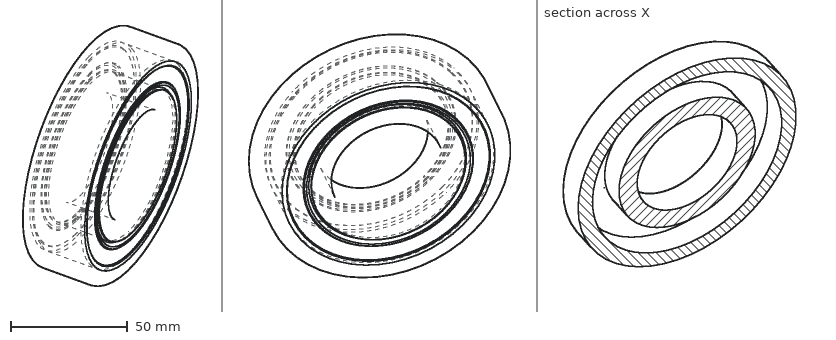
import cadquery as cq


width = 27.0
bore_radius = 25.0
outside_radius = 55.0
corner_radius = 2.0
face = width / 2

inner_ring_radius = 34.4
shield_seat_radius = 47.5

rim_inner_radius = 45.5
lip_outer_radius = 37.6
lip_inner_radius = 36.6
groove_radius = 35.2
web_depth = 0.4
shield_thickness = 2.0
web_outer_radius = rim_inner_radius - web_depth
web_inner_radius = lip_outer_radius + web_depth
groove_depth = lip_inner_radius - groove_radius
inner_edge_depth = groove_depth - (groove_radius - inner_ring_radius)


def make_ring(inner_radius, outer_radius):
    """Plain full-width ring around the X axis."""
    section = cq.Workplane("YZ", origin=(-face, 0, 0)).circle(outer_radius).circle(inner_radius)
    return section.extrude(width)


def make_inner_ring():
    """Ring with rounded bore edges."""
    bore_edges = cq.selectors.RadiusNthSelector(0)
    return make_ring(bore_radius, inner_ring_radius).edges(bore_edges).fillet(corner_radius)


def make_outer_ring():
    """Ring with rounded outer edges."""
    outer_edges = cq.selectors.RadiusNthSelector(-1)
    return make_ring(shield_seat_radius, outside_radius).edges(outer_edges).fillet(corner_radius)


def make_shield(side):
    """Shield that closes the gap between the rings; side is -1 or +1 along X."""
    profile = [
        (0, shield_seat_radius),
        (0, rim_inner_radius),
        (web_depth, web_outer_radius),
        (web_depth, web_inner_radius),
        (0, lip_outer_radius),
        (0, lip_inner_radius),
        (groove_depth, groove_radius),
        (inner_edge_depth, inner_ring_radius),
        (shield_thickness, inner_ring_radius),
        (shield_thickness, shield_seat_radius),
    ]
    points = [(side * (face - depth), radius) for depth, radius in profile]
    return cq.Workplane("XY").polyline(points).close().revolve(360, (0, 0, 0), (1, 0, 0))


inner_ring = make_inner_ring()
outer_ring = make_outer_ring()
shields = [make_shield(side) for side in (-1, 1)]

result = cq.Compound.makeCompound(
    [inner_ring.val(), outer_ring.val(), *[shield.val() for shield in shields]]
)